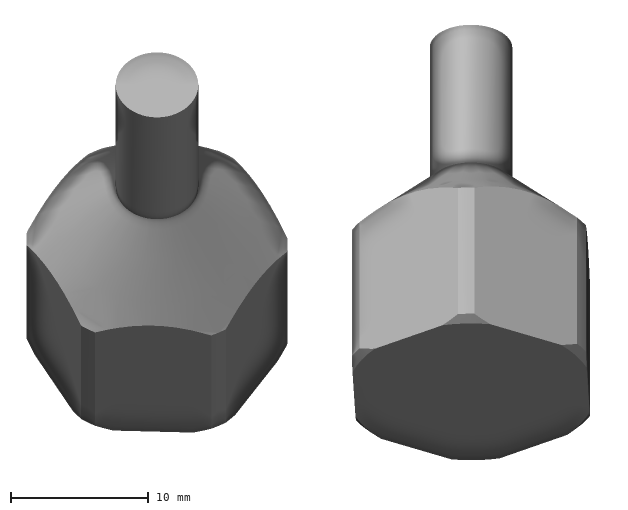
import cadquery as cq
import math

total_height = 30.0
stem_diameter = 6.0
stem_length = 12.0
across_flats = 17.0
corner_diameter = 19.0
bottom_chamfer = 0.5

stem_radius = stem_diameter / 2
corner_radius = corner_diameter / 2
shoulder_height = total_height - stem_length
cone_base_height = shoulder_height - (corner_radius - stem_radius)
sharp_corner_diameter = across_flats / math.cos(math.pi / 6)


def turned_body():
    """Stem, 45 degree cone and chamfered cylinder, revolved about Z."""
    return (
        cq.Workplane("XZ")
        .moveTo(0, 0)
        .lineTo(corner_radius - bottom_chamfer, 0)
        .lineTo(corner_radius, bottom_chamfer)
        .lineTo(corner_radius, cone_base_height)
        .lineTo(stem_radius, shoulder_height)
        .lineTo(stem_radius, total_height)
        .lineTo(0, total_height)
        .close()
        .revolve(360, (0, 0, 0), (0, 1, 0))
    )


def hexagonal_envelope():
    """Hexagonal prism with corners on the X axis and flats facing +Y and -Y."""
    return cq.Workplane("XY").polygon(6, sharp_corner_diameter).extrude(total_height)


result = turned_body().intersect(hexagonal_envelope())